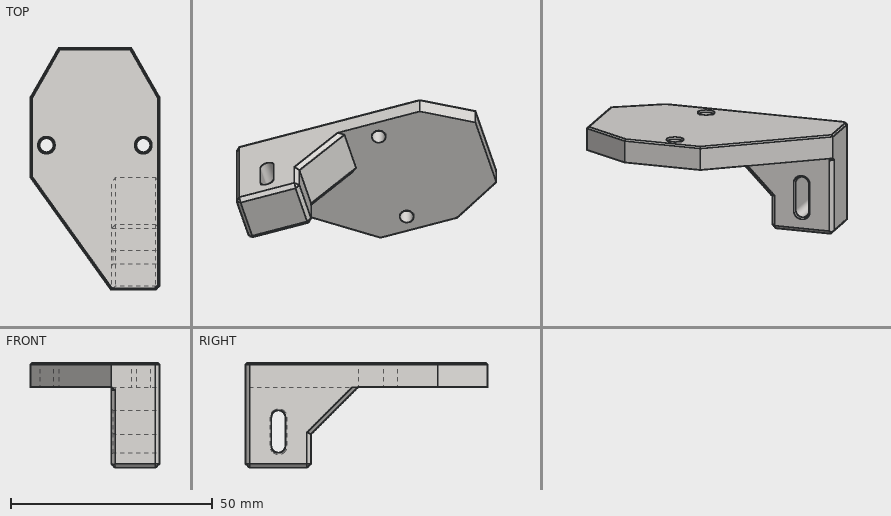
import cadquery as cq
import math

width = 32.0
length = 60.0
height = 26.0

plate_thickness = 6.0
plate_bottom = height - plate_thickness
rear_corner_width = 7.0
rear_corner_length = 12.3
left_taper_length = 27.9
rim_chamfer = 0.4

leg_width = 12.0
leg_left = width - leg_width
leg_depth = 16.25
brace_rise = left_taper_length - leg_depth
leg_chamfer = 1.0
selection_margin = 0.6

hole_diameter = 3.4
hole_left_x = 3.95
hole_spacing = 24.0
hole_y = 35.9
slot_y = 8.15
slot_z = 9.0
slot_center_spacing = 7.0
mouth_chamfer = 0.4


def make_plate():
    outline = [
        (leg_left, 0),
        (width - leg_chamfer, 0),
        (width, leg_chamfer),
        (width, length - rear_corner_length),
        (width - rear_corner_width, length),
        (rear_corner_width, length),
        (0, length - rear_corner_length),
        (0, left_taper_length),
    ]
    plate = cq.Workplane("XY").workplane(offset=plate_bottom).polyline(outline).close()
    plate = plate.extrude(plate_thickness).faces(">Z").chamfer(rim_chamfer)
    hole_centers = [(hole_left_x, hole_y), (hole_left_x + hole_spacing, hole_y)]
    mouth_diameter = hole_diameter + 2 * mouth_chamfer
    plate_top = plate.faces(">Z").workplane(origin=(0, 0, height))
    return plate_top.pushPoints(hole_centers).cskHole(hole_diameter, mouth_diameter, 90)


def front_left_chamfer_cutter():
    """Corner cutter whose upper end slopes out at 45 degrees to meet the plate's lower corner."""
    cut_depth = leg_chamfer / math.sqrt(2)
    diagonal_plane = cq.Plane(origin=(leg_left, 0, 0), xDir=(1, 1, 0), normal=(1, -1, 0))
    profile = [
        (-cut_depth, 0),
        (cut_depth, 0),
        (cut_depth, plate_bottom - cut_depth),
        (0, plate_bottom),
        (-cut_depth, plate_bottom),
    ]
    return cq.Workplane(diagonal_plane).polyline(profile).close().extrude(2 * leg_chamfer, both=True)


def make_leg():
    side_profile = [
        (0, 0),
        (leg_depth, 0),
        (leg_depth, plate_bottom - brace_rise),
        (left_taper_length, plate_bottom),
        (0, plate_bottom),
    ]
    leg = cq.Workplane("YZ").workplane(offset=leg_left).polyline(side_profile).close().extrude(leg_width)

    knee_z = plate_bottom - brace_rise
    front_left_edge = cq.selectors.BoxSelector(
        (leg_left - selection_margin, -selection_margin, selection_margin),
        (leg_left + selection_margin, selection_margin, plate_bottom),
    )
    knee_edge = cq.selectors.BoxSelector(
        (leg_left, leg_depth - selection_margin, knee_z - selection_margin),
        (width, leg_depth + selection_margin, knee_z + selection_margin),
    )
    top_edges = cq.selectors.DirectionMinMaxSelector(cq.Vector(0, 0, 1))
    kept_sharp = front_left_edge + knee_edge + top_edges
    leg = leg.edges(cq.selectors.InverseSelector(kept_sharp)).chamfer(leg_chamfer)
    return leg.cut(front_left_chamfer_cutter())


def slot_wire(plane, diameter):
    return plane.center(slot_y, slot_z).slot2D(slot_center_spacing + diameter, diameter, 90)


def make_slot_cutter():
    leg_face = cq.Workplane("YZ").workplane(offset=leg_left)
    through_slot = slot_wire(leg_face, hole_diameter).extrude(leg_width)
    mouth = slot_wire(leg_face, hole_diameter + 2 * mouth_chamfer).extrude(mouth_chamfer, taper=45)
    return through_slot.union(mouth)


result = make_plate().union(make_leg()).cut(make_slot_cutter())